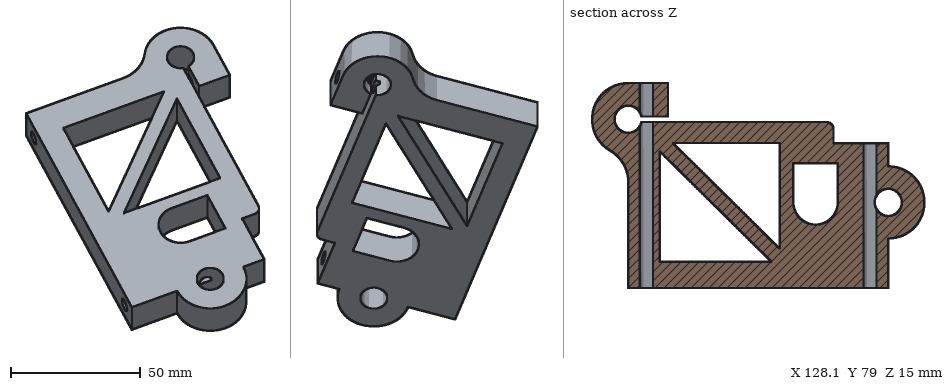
import cadquery as cq
import math

thickness = 15.0
plate_width = 100.1
plate_top = 64.0
step_x = 79.1
step_y = 55.8
corner_radius = 3.0

eye_radius = 14.0
rod_diameter = 10.4
hook_y = 65.0
lug_y = 33.0
hook_tip_x = 15.4
hook_gap = 2 * (hook_y - plate_top)

window_left = 12.2
window_right = 58.2
window_bottom = 10.2
window_top = step_y
brace_above = 5.1
brace_below = 3.2

slot_left = 63.6
slot_width = 17.0
slot_top = 48.0

cross_diameter = 5.0
cross_inset = 7.0


def prism(sketch):
    return sketch.close().extrude(thickness)


def cylinder(x, y, diameter):
    return cq.Workplane("XY").center(x, y).circle(diameter / 2).extrude(thickness)


def make_plate():
    """Stepped plate carrying the hook, joined to it by an equal-radius concave arc."""
    lean = math.radians(30)
    joint = (-eye_radius * math.sin(lean), hook_y - eye_radius * math.cos(lean))
    blend_y = hook_y - 2 * eye_radius * math.cos(lean)
    blend_middle = (
        -eye_radius + eye_radius * math.cos(lean),
        blend_y + eye_radius * math.sin(lean),
    )
    corner_middle = corner_radius * (1 - math.sqrt(0.5))
    outline = (
        cq.Workplane("XY")
        .lineTo(plate_width, 0)
        .lineTo(plate_width, step_y)
        .lineTo(step_x, step_y)
        .lineTo(step_x, plate_top - corner_radius)
        .threePointArc(
            (step_x - corner_middle, plate_top - corner_middle),
            (step_x - corner_radius, plate_top),
        )
        .lineTo(0, plate_top)
        .lineTo(0, plate_top + hook_gap)
        .lineTo(hook_tip_x, plate_top + hook_gap)
        .lineTo(hook_tip_x, hook_y + eye_radius)
        .lineTo(0, hook_y + eye_radius)
        .threePointArc((-eye_radius, hook_y), joint)
        .threePointArc(blend_middle, (0, blend_y))
    )
    return prism(outline)


def make_window():
    """Two triangular openings on either side of the brace."""
    slope = (window_top - window_bottom) / (window_right - window_left)
    upper = cq.Workplane("XY").polyline([
        (window_left + brace_above, window_top),
        (window_right, window_top),
        (window_right, window_bottom + brace_above * slope),
    ])
    lower = cq.Workplane("XY").polyline([
        (window_left, window_bottom),
        (window_left, window_top - brace_below * slope),
        (window_right - brace_below, window_bottom),
    ])
    return prism(upper).union(prism(lower))


def make_slot():
    """Slot with a square top and a half-round bottom level with the lug center."""
    radius = slot_width / 2
    outline = (
        cq.Workplane("XY")
        .moveTo(slot_left, slot_top)
        .lineTo(slot_left, lug_y)
        .threePointArc((slot_left + radius, lug_y - radius), (slot_left + slot_width, lug_y))
        .lineTo(slot_left + slot_width, slot_top)
    )
    return prism(outline)


def make_cross_hole(x):
    """Hole at mid thickness, through the whole part along Y."""
    length = hook_y + eye_radius
    start = cq.Vector(x, 0, thickness / 2)
    return cq.Workplane(cq.Solid.makeCylinder(cross_diameter / 2, length, start, cq.Vector(0, 1, 0)))


result = make_plate().union(cylinder(plate_width, lug_y, 2 * eye_radius))
result = result.cut(make_window()).cut(make_slot())
for eye_x, eye_y in [(0, hook_y), (plate_width, lug_y)]:
    result = result.cut(cylinder(eye_x, eye_y, rod_diameter))
for cross_x in [cross_inset, plate_width - cross_inset]:
    result = result.cut(make_cross_hole(cross_x))